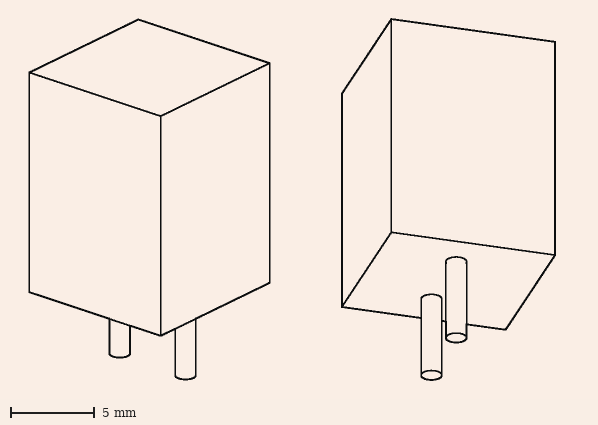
import cadquery as cq

total_height = 19.4
housing_width = 10.17
housing_depth = 10.2

pin_diameter = 1.25
pin_length = 5.1
pin_pitch = 5.08
pin_offset_y = 0.3

housing_height = total_height - pin_length


def make_housing():
    """Plain rectangular block with its underside at Z = 0."""
    return cq.Workplane("XY").box(
        housing_width, housing_depth, housing_height, centered=(True, True, False)
    )


def make_pin(x):
    """Round pin hanging from the housing underside."""
    return (
        cq.Workplane("XY")
        .center(x, pin_offset_y)
        .circle(pin_diameter / 2)
        .extrude(-pin_length)
    )


housing = make_housing()

pins = []
for side in (-1, 1):
    pins.append(make_pin(side * pin_pitch / 2))

result = cq.Compound.makeCompound([housing.val(), *[pin.val() for pin in pins]])